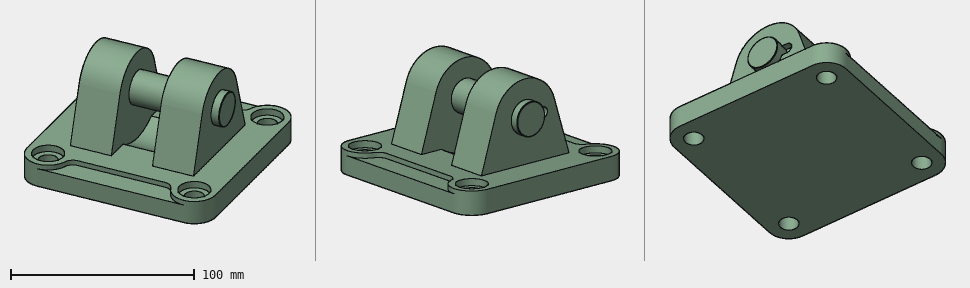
import cadquery as cq
import math

plate_side = 115.0
plate_thickness = 14.0
corner_radius = 13.0
hole_offset = plate_side / 2 - corner_radius
hole_diameter = 11.0
counterbore_diameter = 18.0
counterbore_depth = 4.0

ledge_depth = 3.0
ledge_fillet = 6.0

total_height = 63.0
lug_radius = 22.0
lug_foot_half_width = 31.5
lug_gap = 25.1
lug_thickness = 25.0
axis_height = total_height - lug_radius

trough_half_width = 17.2
trough_radius = math.hypot(trough_half_width, axis_height - plate_thickness)

pin_radius = 10.0
pin_length = 84.9
pin_chamfer = 0.3
slot_width = 6.4
slot_reach = 16.0
slot_depth = 4.0


def x_cylinder(radius, length):
    """Cylinder on the pin axis, centred on X = 0."""
    return (
        cq.Workplane("YZ", origin=(-length / 2, 0, axis_height))
        .circle(radius)
        .extrude(length)
    )


def make_plate():
    return (
        cq.Workplane("XY")
        .rect(plate_side, plate_side)
        .extrude(plate_thickness)
        .edges("|Z")
        .fillet(corner_radius)
        .faces(">Z")
        .workplane()
        .rect(2 * hole_offset, 2 * hole_offset, forConstruction=True)
        .vertices()
        .cboreHole(hole_diameter, counterbore_diameter, counterbore_depth)
    )


def make_ledge_cut():
    """Recess on the +Y edge, curving around the corner bosses."""
    center_distance = corner_radius + ledge_fillet
    fillet_dx = math.sqrt(center_distance**2 - ledge_fillet**2)
    boss_share = corner_radius / center_distance
    floor_end = hole_offset - fillet_dx
    junction_x = hole_offset - fillet_dx * boss_share
    junction_y = hole_offset + ledge_fillet * boss_share

    junction_angle = math.atan2(ledge_fillet, fillet_dx)
    mid_angle = (junction_angle + math.pi / 2) / 2
    boss_mid_x = hole_offset - corner_radius * math.cos(mid_angle)
    boss_mid_y = hole_offset + corner_radius * math.sin(mid_angle)
    fillet_mid_x = floor_end + ledge_fillet * math.cos(mid_angle)
    fillet_mid_y = hole_offset + ledge_fillet - ledge_fillet * math.sin(mid_angle)

    return (
        cq.Workplane("XY", origin=(0, 0, plate_thickness - ledge_depth))
        .moveTo(-floor_end, hole_offset)
        .lineTo(floor_end, hole_offset)
        .threePointArc((fillet_mid_x, fillet_mid_y), (junction_x, junction_y))
        .threePointArc((boss_mid_x, boss_mid_y), (hole_offset, plate_side / 2))
        .lineTo(-hole_offset, plate_side / 2)
        .threePointArc((-boss_mid_x, boss_mid_y), (-junction_x, junction_y))
        .threePointArc((-fillet_mid_x, fillet_mid_y), (-floor_end, hole_offset))
        .close()
        .extrude(ledge_depth)
    )


def make_lug(start_x):
    """Lug whose sloping sides run tangent into its round top."""
    axis_rise = axis_height - plate_thickness
    foot_angle = math.atan2(-axis_rise, lug_foot_half_width)
    foot_distance = math.hypot(lug_foot_half_width, axis_rise)
    tangent_angle = foot_angle + math.acos(lug_radius / foot_distance)
    tangent_y = lug_radius * math.cos(tangent_angle)
    tangent_z = axis_height + lug_radius * math.sin(tangent_angle)
    return (
        cq.Workplane("YZ", origin=(start_x, 0, 0))
        .moveTo(-lug_foot_half_width, plate_thickness)
        .lineTo(lug_foot_half_width, plate_thickness)
        .lineTo(tangent_y, tangent_z)
        .threePointArc((0, total_height), (-tangent_y, tangent_z))
        .close()
        .extrude(lug_thickness)
    )


def make_slot(start_x):
    """Round-ended slot from the pin axis toward -Y, sunk into the outer face of a lug."""
    end_radius = slot_width / 2
    straight_end = -(slot_reach - end_radius)
    return (
        cq.Workplane("YZ", origin=(start_x, 0, axis_height))
        .moveTo(0, end_radius)
        .lineTo(straight_end, end_radius)
        .threePointArc((-slot_reach, 0), (straight_end, -end_radius))
        .lineTo(0, -end_radius)
        .close()
        .extrude(slot_depth)
    )


left_lug_start = -lug_gap / 2 - lug_thickness
right_lug_start = lug_gap / 2

ledge_cut = make_ledge_cut()
body = make_plate().cut(ledge_cut).cut(ledge_cut.mirror("XZ"))
body = body.cut(x_cylinder(trough_radius, lug_gap))
for lug_start in (left_lug_start, right_lug_start):
    body = body.union(make_lug(lug_start))
body = body.cut(make_slot(left_lug_start))

pin = x_cylinder(pin_radius, pin_length).faces("<X or >X").chamfer(pin_chamfer)
result = body.union(pin)